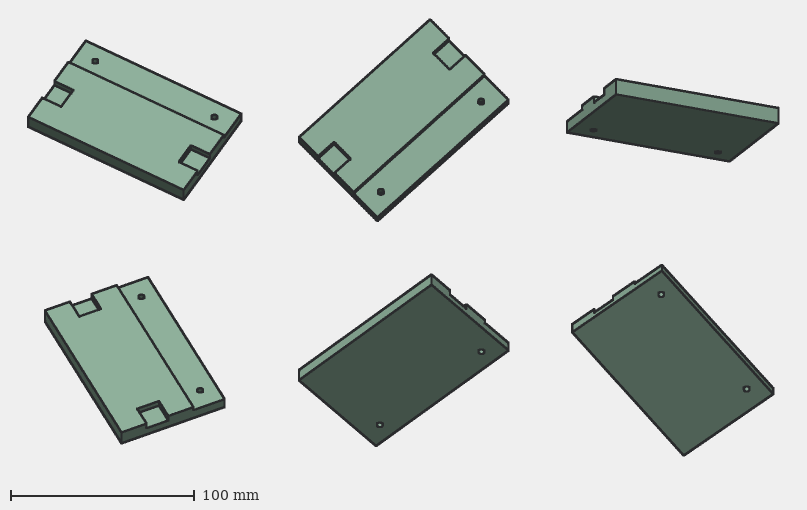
import cadquery as cq

length = 98.0
width = 62.0
thickness = 9.0

shelf_width = 18.8
shelf_drop = 2.45

pocket_length = 12.0
pocket_width = 13.0
pocket_depth = 3.7

hole_diameter = 3.2
hole_end_distance = 11.5

raised_width = width - shelf_width
pocket_y = raised_width / 2
hole_y = width - shelf_width / 2


def make_plate():
    """Stepped plate with its front left bottom corner at the origin."""
    shelf_height = thickness - shelf_drop
    profile = [
        (0, 0),
        (width, 0),
        (width, shelf_height),
        (raised_width, shelf_height),
        (raised_width, thickness),
        (0, thickness),
    ]
    return cq.Workplane("YZ").polyline(profile).close().extrude(length)


def make_end_pockets():
    """Rectangular cutters reaching in from each end."""
    centers = [(x, pocket_y) for x in (pocket_length / 2, length - pocket_length / 2)]
    return (
        cq.Workplane("XY", origin=(0, 0, thickness - pocket_depth))
        .pushPoints(centers)
        .rect(pocket_length, pocket_width)
        .extrude(pocket_depth)
    )


def make_shelf_holes():
    """Cylindrical cutters through the full plate."""
    centers = [(x, hole_y) for x in (hole_end_distance, length - hole_end_distance)]
    return cq.Workplane("XY").pushPoints(centers).circle(hole_diameter / 2).extrude(thickness)


result = make_plate().cut(make_end_pockets()).cut(make_shelf_holes())